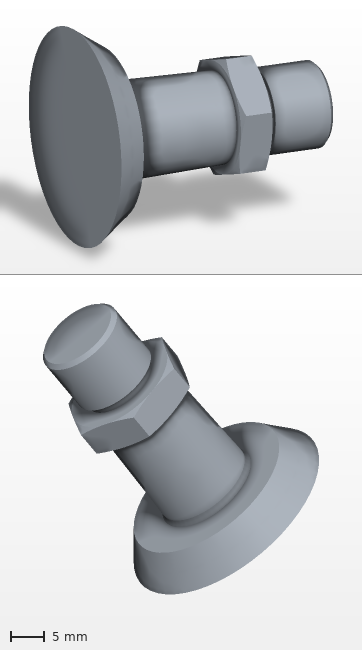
import cadquery as cq
import math

total_length = 39.0
cup_height = 5.23
neck_height = 1.0
nut_start = 22.95
nut_width = 5.07
thread_start = 29.45
tip_chamfer = 0.62

cup_rim_diameter = 33.0
cup_top_diameter = 25.9
neck_base_diameter = 15.75
sleeve_base_diameter = 14.98
sleeve_end_diameter = 14.05
undercut_diameter = 11.43
thread_diameter = 13.15

nut_across_flats = 17.0
nut_turn = 17.0
nut_corner_drop = 0.45

neck_end = cup_height + neck_height
nut_end = nut_start + nut_width


def make_body():
    """Cup, tapered sleeve, undercut and threaded end, revolved about Y."""
    cup_rim = cup_rim_diameter / 2
    neck_base = neck_base_diameter / 2
    sleeve_base = sleeve_base_diameter / 2
    sleeve_end = sleeve_end_diameter / 2
    undercut = undercut_diameter / 2
    thread = thread_diameter / 2
    neck_middle = (
        neck_base - (neck_base - sleeve_base) * math.sin(math.pi / 4),
        neck_end - neck_height * math.sin(math.pi / 4),
    )
    return (
        cq.Workplane("XY")
        .moveTo(0, 0)
        .lineTo(cup_rim, 0)
        .lineTo(cup_top_diameter / 2, cup_height)
        .lineTo(neck_base, cup_height)
        .threePointArc(neck_middle, (sleeve_base, neck_end))
        .lineTo(sleeve_end, nut_start)
        .lineTo(undercut, nut_start)
        .lineTo(undercut, thread_start)
        .lineTo(thread, thread_start)
        .lineTo(thread, total_length - tip_chamfer)
        .lineTo(thread - tip_chamfer, total_length)
        .lineTo(0, total_length)
        .close()
        .revolve(360, (0, 0, 0), (0, 1, 0))
    )


def make_nut():
    """Hexagon trimmed by a double cone that chamfers its corners."""
    corner_diameter = nut_across_flats / math.cos(math.pi / 6)
    corner = corner_diameter / 2
    face = nut_across_flats / 2
    hexagon = (
        cq.Workplane("XZ", origin=(0, nut_start, 0))
        .polygon(6, corner_diameter)
        .extrude(-nut_width)
        .rotate((0, 0, 0), (0, 1, 0), -nut_turn)
    )
    double_cone = (
        cq.Workplane("XY")
        .moveTo(0, nut_start)
        .lineTo(face, nut_start)
        .lineTo(corner, nut_start + nut_corner_drop)
        .lineTo(corner, nut_end - nut_corner_drop)
        .lineTo(face, nut_end)
        .lineTo(0, nut_end)
        .close()
        .revolve(360, (0, 0, 0), (0, 1, 0))
    )
    return hexagon.intersect(double_cone)


result = make_body().union(make_nut())